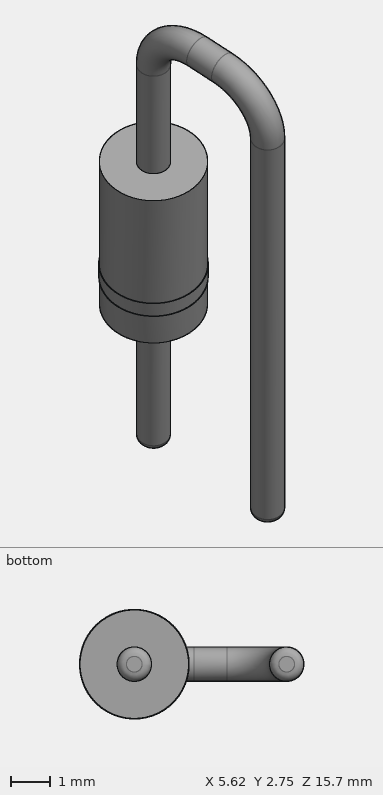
import cadquery as cq

total_height = 15.69
lead_diameter = 0.86
lead_spacing = 3.81
bend_radius = 1.49
tip_fillet = 0.24

body_diameter = 2.71
body_bottom = 4.99
body_length = 5.21

band_diameter = 2.75
band_bottom = 5.98
band_height = 0.47
band_depth = 0.06

body_top = body_bottom + body_length
bridge_height = total_height - lead_diameter / 2
bend_start = bridge_height - bend_radius


def make_band():
    """Marking ring set into the body and slightly wider than it."""
    return (
        cq.Workplane("XY", origin=(0, 0, band_bottom))
        .circle(band_diameter / 2)
        .circle(body_diameter / 2 - band_depth)
        .extrude(band_height)
    )


def make_body(band):
    """Plain cylinder with a groove that holds the band."""
    cylinder = (
        cq.Workplane("XY", origin=(0, 0, body_bottom))
        .circle(body_diameter / 2)
        .extrude(body_length)
    )
    return cylinder.cut(band)


def make_straight_lead():
    """Lower lead, from its rounded tip up to the bottom face of the body."""
    return (
        cq.Workplane("XY")
        .circle(lead_diameter / 2)
        .extrude(body_bottom)
        .faces("<Z")
        .edges()
        .fillet(tip_fillet)
    )


def make_bent_lead():
    """Upper lead, from the top of the body over two bends and down to its rounded tip."""
    path = (
        cq.Workplane("XZ")
        .moveTo(0, body_top)
        .lineTo(0, bend_start)
        .radiusArc((bend_radius, bridge_height), bend_radius)
        .lineTo(lead_spacing - bend_radius, bridge_height)
        .radiusArc((lead_spacing, bend_start), bend_radius)
        .lineTo(lead_spacing, 0)
    )
    return (
        cq.Workplane("XY", origin=(0, 0, body_top))
        .circle(lead_diameter / 2)
        .sweep(path)
        .faces("<Z")
        .edges()
        .fillet(tip_fillet)
    )


band = make_band()
body = make_body(band)
straight_lead = make_straight_lead()
bent_lead = make_bent_lead()

result = cq.Compound.makeCompound(
    [body.val(), band.val(), straight_lead.val(), bent_lead.val()]
)